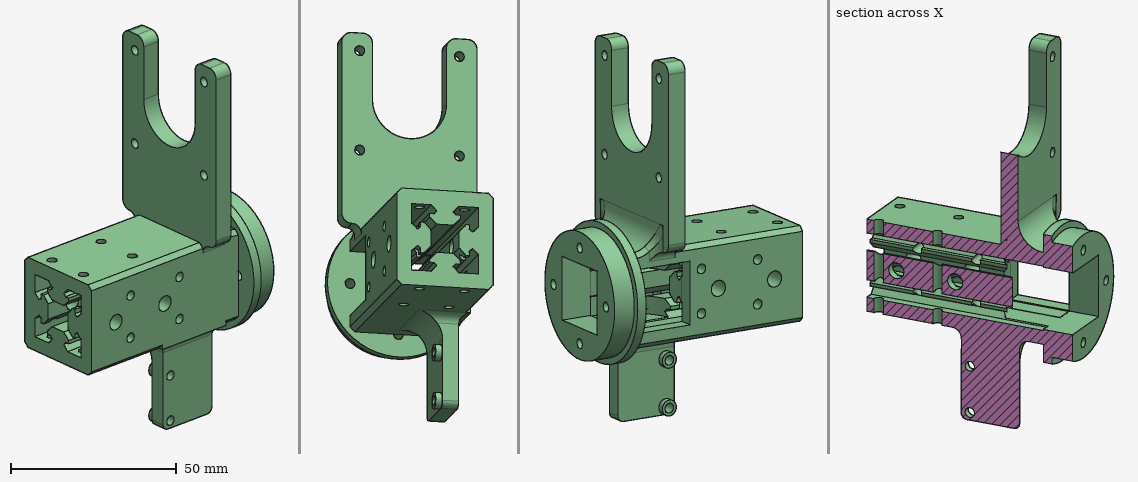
import cadquery as cq
import math

BLOCK_SIZE = 30.0
BLOCK_LENGTH = 60.0
BLOCK_CHAMFER = 1.5
HALF_BLOCK = BLOCK_SIZE / 2

CAVITY_HALF = 10.35
KEY_ROOT_HALF = 4.3
KEY_NECK_HALF = 2.6
KEY_NECK_DEPTH = 8.5
KEY_UNDERCUT_HALF = 3.4
KEY_HEAD_HALF = 4.8
KEY_SHOULDER = 7.6
KEY_SIDE_END = 6.5
KEY_TIP_HALF = 2.6
KEY_TIP = 4.4
KEY_OVERLAP = 1.0

FLANGE_DIAMETER = 44.0
FLANGE_THICKNESS = 3.0
HUB_DIAMETER = 40.0
HUB_LENGTH = 7.0
END_Y = BLOCK_LENGTH + FLANGE_THICKNESS + HUB_LENGTH
FLANGE_HOLE_RADIUS = 15.0
FLANGE_HOLE_COUNT = 4

PASSAGE_WIDTH = 20.0
HALF_PASSAGE = PASSAGE_WIDTH / 2
WINDOW_START_Y = BLOCK_LENGTH - PASSAGE_WIDTH

PLATE_SIZE = 42.0
PLATE_THICKNESS = 6.0
PLATE_FRONT_Y = 45.5
PLATE_BACK_Y = PLATE_FRONT_Y + PLATE_THICKNESS
PLATE_BOTTOM_Z = HALF_BLOCK
MOTOR_Z = 53.5
PLATE_TOP_Z = MOTOR_Z + PLATE_SIZE / 2
PLATE_CORNER_RADIUS = 3.0
MOTOR_SLOT_WIDTH = 23.0
MOTOR_SLOT_END_Z = 54.0
MOTOR_HOLE_PITCH = 31.0
BACK_FILLET = BLOCK_LENGTH - PLATE_BACK_Y
SMALL_FILLET = 3.0
EDGE_MARGIN = 0.1
FLARE_REACH = SMALL_FILLET - EDGE_MARGIN

TAB_LEFT_X = 7.0
TAB_THICKNESS = 5.0
TAB_RIGHT_X = TAB_LEFT_X + TAB_THICKNESS
TAB_FRONT_Y = 32.0
TAB_WIDTH = 20.0
TAB_BACK_Y = TAB_FRONT_Y + TAB_WIDTH
TAB_BOTTOM_Z = -44.0
TAB_CORNER_RADIUS = 2.0
TAB_FILLET = 8.0
BOSS_DIAMETER = 5.0
BOSS_HEIGHT = 2.0
BOSS_Y = 35.0
BOSS_LOW_Z = TAB_BOTTOM_Z + BOSS_DIAMETER / 2
BOSS_PITCH = 15.0

SCREW_DIAMETER = 3.0
SCREW_OFFSET = 7.0
SIDE_SCREW_Y = (16.0, 36.0)
TOP_SCREW_Y = (4.0, 24.0)
SIDE_BOLT_DIAMETER = 5.0
SIDE_BOLT_Y = (10.0, 30.0)


def prism_along_y(outline, start, end):
    """Extrude an XZ sketch from Y = start to Y = end."""
    return outline.extrude(start - end).translate((0, start, 0))


def rod(axis, diameter, start, length):
    """Cylinder along an axis direction from a start point."""
    return cq.Workplane(cq.Solid.makeCylinder(diameter / 2, length, cq.Vector(*start), cq.Vector(*axis)))


def arc_middle(center, radius, degrees):
    """Point on a circle, used as the middle of a three-point arc."""
    angle = math.radians(degrees)
    return (center[0] + radius * math.cos(angle), center[1] + radius * math.sin(angle))


def make_block():
    block = prism_along_y(cq.Workplane("XZ").rect(BLOCK_SIZE, BLOCK_SIZE), 0, BLOCK_LENGTH)
    return block.edges("|Y").chamfer(BLOCK_CHAMFER)


def make_flange():
    flange = rod((0, 1, 0), FLANGE_DIAMETER, (0, BLOCK_LENGTH, 0), FLANGE_THICKNESS)
    hub = rod((0, 1, 0), HUB_DIAMETER, (0, BLOCK_LENGTH + FLANGE_THICKNESS, 0), HUB_LENGTH)
    flange = flange.union(hub)
    for index in range(FLANGE_HOLE_COUNT):
        angle = 2 * math.pi * index / FLANGE_HOLE_COUNT
        x = FLANGE_HOLE_RADIUS * math.cos(angle)
        z = FLANGE_HOLE_RADIUS * math.sin(angle)
        flange = flange.cut(rod((0, 1, 0), SCREW_DIAMETER, (x, BLOCK_LENGTH, z), END_Y - BLOCK_LENGTH))
    return flange


def make_cavity():
    """Square bore less the four keys, for the length of the tube."""
    right_side = [
        (KEY_ROOT_HALF, CAVITY_HALF + KEY_OVERLAP),
        (KEY_ROOT_HALF, CAVITY_HALF),
        (KEY_NECK_HALF, KEY_NECK_DEPTH),
        (KEY_UNDERCUT_HALF, KEY_SHOULDER),
        (KEY_HEAD_HALF, KEY_SHOULDER),
        (KEY_HEAD_HALF, KEY_SIDE_END),
        (KEY_TIP_HALF, KEY_TIP),
    ]
    left_side = [(-x, z) for x, z in reversed(right_side)]
    key_outline = cq.Workplane("XZ").polyline(right_side + left_side).close()
    key = prism_along_y(key_outline, 0, BLOCK_LENGTH)
    bore_outline = cq.Workplane("XZ").rect(2 * CAVITY_HALF, 2 * CAVITY_HALF)
    cavity = prism_along_y(bore_outline, 0, BLOCK_LENGTH)
    for angle in (0, 90, 180, 270):
        cavity = cavity.cut(key.rotate((0, 0, 0), (0, 1, 0), angle))
    return cavity


def make_passage():
    """Passage that enters through the -X wall and bends round to leave through the flange."""
    bend_center = (-HALF_PASSAGE, BLOCK_LENGTH)
    return (
        cq.Workplane("XY")
        .workplane(offset=-HALF_PASSAGE)
        .moveTo(-HALF_BLOCK, WINDOW_START_Y)
        .lineTo(-HALF_PASSAGE, WINDOW_START_Y)
        .threePointArc(arc_middle(bend_center, PASSAGE_WIDTH, -45), (HALF_PASSAGE, BLOCK_LENGTH))
        .lineTo(HALF_PASSAGE, END_Y)
        .lineTo(-HALF_PASSAGE, END_Y)
        .lineTo(-HALF_PASSAGE, BLOCK_LENGTH)
        .lineTo(-HALF_BLOCK, BLOCK_LENGTH)
        .close()
        .extrude(PASSAGE_WIDTH)
    )


def make_plate():
    plate_center_z = (PLATE_TOP_Z + PLATE_BOTTOM_Z) / 2
    plate = cq.Workplane("XY").box(PLATE_SIZE, PLATE_THICKNESS, PLATE_TOP_Z - PLATE_BOTTOM_Z)
    plate = plate.translate((0, PLATE_FRONT_Y + PLATE_THICKNESS / 2, plate_center_z))
    slot_height = PLATE_TOP_Z - MOTOR_SLOT_END_Z
    slot = cq.Workplane("XY").box(MOTOR_SLOT_WIDTH, PLATE_THICKNESS, slot_height)
    slot = slot.translate((0, PLATE_FRONT_Y + PLATE_THICKNESS / 2, MOTOR_SLOT_END_Z + slot_height / 2))
    plate = plate.cut(slot).edges("|Y and (>Z or <Z)").fillet(PLATE_CORNER_RADIUS)
    plate = plate.cut(rod((0, 1, 0), MOTOR_SLOT_WIDTH, (0, PLATE_FRONT_Y, MOTOR_SLOT_END_Z), PLATE_THICKNESS))
    for x in (-MOTOR_HOLE_PITCH / 2, MOTOR_HOLE_PITCH / 2):
        for z in (MOTOR_Z - MOTOR_HOLE_PITCH / 2, MOTOR_Z + MOTOR_HOLE_PITCH / 2):
            plate = plate.cut(rod((0, 1, 0), SCREW_DIAMETER, (x, PLATE_FRONT_Y, z), PLATE_THICKNESS))
    return plate


def make_back_fillet(half_width):
    """Large fillet between the tube top and the back of the plate."""
    center = (BLOCK_LENGTH, PLATE_BOTTOM_Z + BACK_FILLET)
    return (
        cq.Workplane("YZ")
        .workplane(offset=-half_width)
        .moveTo(PLATE_FRONT_Y, 0)
        .lineTo(BLOCK_LENGTH, 0)
        .lineTo(BLOCK_LENGTH, PLATE_BOTTOM_Z)
        .threePointArc(arc_middle(center, BACK_FILLET, 225), (PLATE_BACK_Y, center[1]))
        .lineTo(PLATE_FRONT_Y, center[1])
        .close()
        .extrude(2 * half_width)
    )


def make_side_flare():
    """Fillet on the +X side, under the plate and mitred round behind it."""
    outer_x = HALF_BLOCK + SMALL_FILLET
    low_z = PLATE_BOTTOM_Z - SMALL_FILLET
    high_z = PLATE_BOTTOM_Z + BACK_FILLET
    inner_x = HALF_BLOCK - BLOCK_CHAMFER
    rear_y = PLATE_BACK_Y + SMALL_FILLET
    under_outline = (
        cq.Workplane("XZ")
        .moveTo(inner_x, low_z)
        .lineTo(HALF_BLOCK, low_z)
        .threePointArc(arc_middle((outer_x, low_z), SMALL_FILLET, 135), (outer_x, PLATE_BOTTOM_Z))
        .lineTo(outer_x, high_z)
        .lineTo(inner_x, high_z)
        .close()
    )
    under = prism_along_y(under_outline, PLATE_FRONT_Y, rear_y)
    behind = (
        cq.Workplane("XY")
        .workplane(offset=low_z)
        .moveTo(inner_x, PLATE_FRONT_Y)
        .lineTo(outer_x, PLATE_FRONT_Y)
        .lineTo(outer_x, PLATE_BACK_Y)
        .threePointArc(arc_middle((outer_x, rear_y), SMALL_FILLET, 225), (HALF_BLOCK, rear_y))
        .lineTo(inner_x, rear_y)
        .close()
        .extrude(high_z - low_z)
    )
    return under.intersect(behind).intersect(make_back_fillet(HALF_BLOCK + FLARE_REACH))


def make_plate_fillets():
    """Back fillet with both side flares, chamfered along its edges like the tube."""
    flare = make_side_flare()
    fillets = make_back_fillet(HALF_BLOCK).union(flare).union(flare.mirror("YZ"))
    left_edges, right_edges = [
        cq.selectors.BoxSelector(
            (side * (HALF_BLOCK - EDGE_MARGIN), PLATE_BACK_Y + EDGE_MARGIN, PLATE_BOTTOM_Z),
            (side * (HALF_BLOCK + SMALL_FILLET), BLOCK_LENGTH - EDGE_MARGIN, PLATE_BOTTOM_Z + BACK_FILLET),
        )
        for side in (-1, 1)
    ]
    return fillets.edges(left_edges + right_edges).chamfer(BLOCK_CHAMFER)


def make_tab():
    """Tab flared into the tube underside: its two side outlines crossed with each other."""
    root_z = BLOCK_CHAMFER - HALF_BLOCK
    left_center = (TAB_LEFT_X - TAB_FILLET, -HALF_BLOCK - TAB_FILLET)
    right_center = (TAB_RIGHT_X + SMALL_FILLET, -HALF_BLOCK - SMALL_FILLET)
    front_outline = (
        cq.Workplane("XZ")
        .moveTo(TAB_LEFT_X, TAB_BOTTOM_Z)
        .lineTo(TAB_LEFT_X, left_center[1])
        .threePointArc(arc_middle(left_center, TAB_FILLET, 45), (left_center[0], -HALF_BLOCK))
        .lineTo(left_center[0], root_z)
        .lineTo(right_center[0], root_z)
        .lineTo(right_center[0], -HALF_BLOCK)
        .threePointArc(arc_middle(right_center, SMALL_FILLET, 135), (TAB_RIGHT_X, right_center[1]))
        .lineTo(TAB_RIGHT_X, TAB_BOTTOM_Z)
        .close()
    )
    flared_front_y = TAB_FRONT_Y - SMALL_FILLET
    flared_back_y = TAB_BACK_Y + SMALL_FILLET
    flare_z = -HALF_BLOCK - SMALL_FILLET
    side_shape = (
        cq.Workplane("YZ")
        .workplane(offset=left_center[0])
        .moveTo(TAB_FRONT_Y, TAB_BOTTOM_Z)
        .lineTo(TAB_FRONT_Y, flare_z)
        .threePointArc(arc_middle((flared_front_y, flare_z), SMALL_FILLET, 45), (flared_front_y, -HALF_BLOCK))
        .lineTo(flared_front_y, root_z)
        .lineTo(flared_back_y, root_z)
        .lineTo(flared_back_y, -HALF_BLOCK)
        .threePointArc(arc_middle((flared_back_y, flare_z), SMALL_FILLET, 135), (TAB_BACK_Y, flare_z))
        .lineTo(TAB_BACK_Y, TAB_BOTTOM_Z)
        .close()
        .extrude(right_center[0] - left_center[0])
        .edges("|X and <Z")
        .fillet(TAB_CORNER_RADIUS)
    )
    tab = prism_along_y(front_outline, flared_front_y, flared_back_y).intersect(side_shape)
    boss_x = TAB_LEFT_X - BOSS_HEIGHT
    boss_length = BOSS_HEIGHT + TAB_THICKNESS / 2
    for z in (BOSS_LOW_Z, BOSS_LOW_Z + BOSS_PITCH):
        tab = tab.union(rod((1, 0, 0), BOSS_DIAMETER, (boss_x, BOSS_Y, z), boss_length))
        tab = tab.cut(rod((1, 0, 0), SCREW_DIAMETER, (boss_x, BOSS_Y, z), TAB_RIGHT_X - boss_x))
    return tab


def cut_tube_holes(body):
    for offset in (-SCREW_OFFSET, SCREW_OFFSET):
        for y in SIDE_SCREW_Y:
            body = body.cut(rod((1, 0, 0), SCREW_DIAMETER, (-HALF_BLOCK, y, offset), BLOCK_SIZE))
        for y in TOP_SCREW_Y:
            body = body.cut(rod((0, 0, 1), SCREW_DIAMETER, (offset, y, -HALF_BLOCK), BLOCK_SIZE))
    for y in SIDE_BOLT_Y:
        body = body.cut(rod((1, 0, 0), SIDE_BOLT_DIAMETER, (-HALF_BLOCK, y, 0), BLOCK_SIZE))
    return body


body = make_block().union(make_flange())
body = body.union(make_plate()).union(make_plate_fillets()).union(make_tab())
body = body.cut(make_cavity()).cut(make_passage())
result = cut_tube_holes(body)